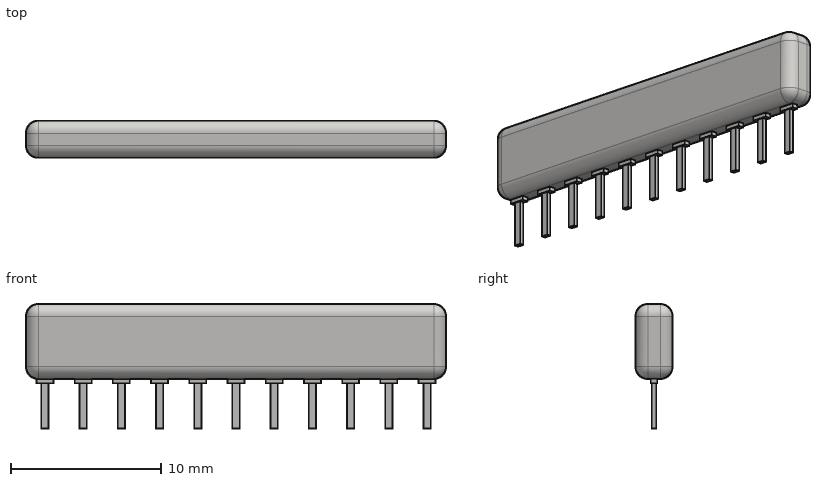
import cadquery as cq

length = 27.95
thickness = 2.5
total_height = 8.3

body_height = 5.0
edge_radius = 0.85

pin_count = 11
pin_pitch = length / pin_count
pin_width = 0.5
pin_thickness = 0.3
shoulder_width = 1.15
shoulder_thickness = 0.45
shoulder_height = 0.28
embed_depth = 0.28

pin_length = total_height - body_height


def hanging_bar(width, depth, drop):
    """Rectangular bar from inside the body down to `drop` below its underside."""
    return (
        cq.Workplane("XY")
        .workplane(offset=-drop)
        .rect(width, depth)
        .extrude(drop + embed_depth)
    )


def make_body():
    """Rounded block resting on the XY plane, centred on the Z axis."""
    block = cq.Workplane("XY").box(length, thickness, body_height, centered=(True, True, False))
    return block.edges().fillet(edge_radius)


def make_pin():
    """One pin with its shoulder, centred on the Z axis."""
    shoulder = hanging_bar(shoulder_width, shoulder_thickness, shoulder_height)
    return shoulder.union(hanging_bar(pin_width, pin_thickness, pin_length))


result = make_body()
pin = make_pin()
for index in range(pin_count):
    pin_x = (index - (pin_count - 1) / 2) * pin_pitch
    result = result.union(pin.translate((pin_x, 0, 0)))